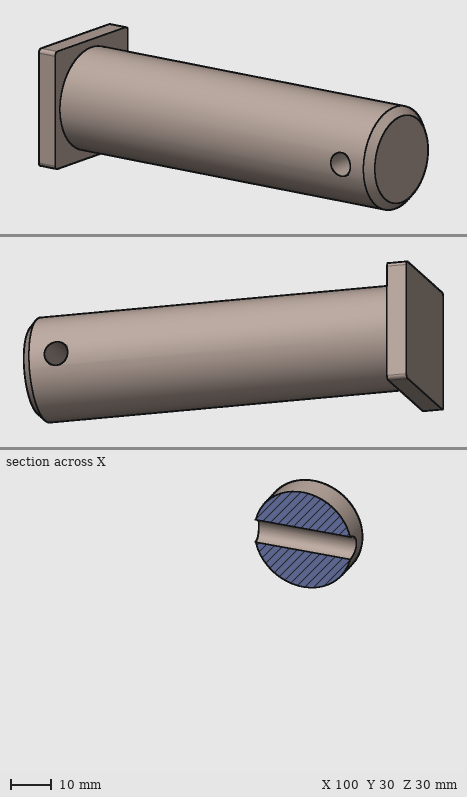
import cadquery as cq

total_length = 100.0
head_side = 30.0
head_thickness = 5.0
head_corner_radius = 1.0
shank_diameter = 26.0
tip_chamfer = 2.0
pin_hole_diameter = 6.0
pin_hole_to_tip = 9.0

pin_hole_x = total_length - pin_hole_to_tip


def make_head():
    """Square plate with rounded corners along the pin axis."""
    plate = cq.Workplane("YZ").rect(head_side, head_side).extrude(head_thickness)
    return plate.edges("|X").fillet(head_corner_radius)


def make_shank():
    """Round shank with a chamfered tip."""
    shank = cq.Workplane("YZ").circle(shank_diameter / 2).extrude(total_length)
    return shank.faces(">X").chamfer(tip_chamfer)


def make_pin_hole():
    """Cross hole through the shank along Y, near the tip."""
    return (
        cq.Workplane("XZ")
        .center(pin_hole_x, 0)
        .circle(pin_hole_diameter / 2)
        .extrude(shank_diameter, both=True)
    )


result = make_head().union(make_shank()).cut(make_pin_hole())